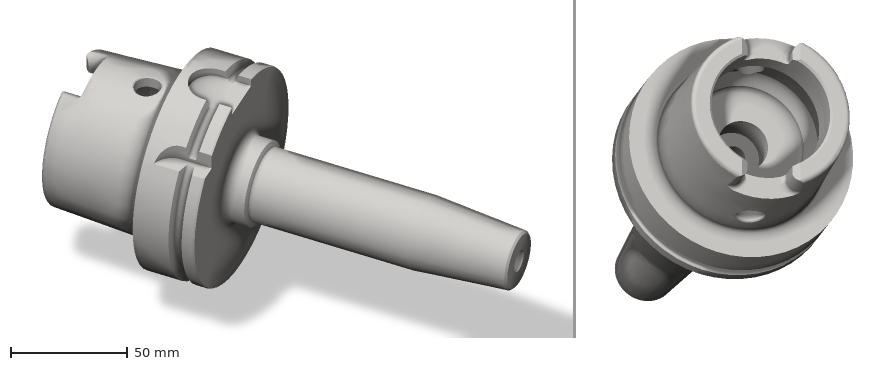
import cadquery as cq
import math


TAPER_LENGTH = 50.0
TAPER_MAX_RADIUS = 75.42 / 2
TAPER_SLOPE = 1 / 20
COLLAR_LENGTH = 2.5
COLLAR_FILLET = 1.2
SHANK_END_FILLET = 2.0

FLANGE_RADIUS = 50.0
FLANGE_WIDTH = 29.0
FLANGE_CHAMFER_LENGTH = 0.8
FLANGE_CHAMFER_DEPTH = 0.3
GROOVE_CENTER_X = 20.0
GROOVE_TOP_WIDTH = 6.2
GROOVE_BOTTOM_WIDTH = 3.2
GROOVE_BOTTOM_RADIUS = 45.8
GROOVE_FILLET = 0.6

TOTAL_REACH = 160.0
NECK_RADIUS = 39 / 2
NECK_END_X = 39.0
NECK_FILLET = 3.0
NECK_CHAMFER = 1.0
BODY_RADIUS = 34 / 2
BODY_END_X = 115.5
NOSE_RADIUS = 27 / 2
NOSE_CHAMFER = 1.0

CAVITY_RADIUS = 53 / 2
CAVITY_FLOOR_X = -3.0
CAVITY_FLOOR_FILLET = 2.0
MOUTH_CHAMFER = 1.0
CLAMP_RADIUS = 63 / 2
CLAMP_START_X = -31.0
CLAMP_END_X = -5.3
CLAMP_ANGLE = 60.0
THREAD_CORE_RADIUS = 22.38 / 2
THREAD_DEPTH = 15.0
COOLANT_RADIUS = 10 / 2

ACCESS_DIAMETER = 12.0
ACCESS_X = -15.3
ACCESS_CHAMFER = 0.5

SLOT_WIDTH = 20.0
UPPER_SLOT_DEPTH = 9.6
LOWER_SLOT_DEPTH = 14.2
SLOT_SHOULDER_Z = 32.1
SLOT_EDGE_RADIUS = 5.0
SLOT_FLOOR_FILLET = 2.0
SLOT_LEAD_LENGTH = 2.5
SLOT_LEAD_WIDTH = 3.0

KEY_WIDTH = 20.0
KEY_START_X = 4.7
KEY_FLOOR = 45.0
NOTCH_FLOOR = 31.4

CLEARANCE = 5.0
PICK_MARGIN = 1.0


def taper_radius(x):
    return TAPER_MAX_RADIUS + (x + COLLAR_LENGTH) * TAPER_SLOPE


def revolve(profile):
    return profile.close().revolve(360, (0, 0, 0), (1, 0, 0))


def turned_body():
    end_x = -TAPER_LENGTH
    profile = (
        cq.Workplane("XY")
        .moveTo(end_x, 0)
        .lineTo(end_x, taper_radius(end_x))
        .lineTo(-COLLAR_LENGTH, TAPER_MAX_RADIUS)
        .lineTo(-COLLAR_FILLET, TAPER_MAX_RADIUS)
        .radiusArc((0, TAPER_MAX_RADIUS + COLLAR_FILLET), -COLLAR_FILLET)
        .lineTo(0, FLANGE_RADIUS)
        .lineTo(FLANGE_WIDTH - FLANGE_CHAMFER_LENGTH, FLANGE_RADIUS)
        .lineTo(FLANGE_WIDTH, FLANGE_RADIUS - FLANGE_CHAMFER_DEPTH)
        .lineTo(FLANGE_WIDTH, NECK_RADIUS + NECK_FILLET)
        .radiusArc((FLANGE_WIDTH + NECK_FILLET, NECK_RADIUS), -NECK_FILLET)
        .lineTo(NECK_END_X, NECK_RADIUS)
        .lineTo(NECK_END_X + NECK_CHAMFER, BODY_RADIUS)
        .lineTo(BODY_END_X, BODY_RADIUS)
        .lineTo(TOTAL_REACH - NOSE_CHAMFER, NOSE_RADIUS)
        .lineTo(TOTAL_REACH, NOSE_RADIUS - NOSE_CHAMFER)
        .lineTo(TOTAL_REACH, 0)
    )
    return revolve(profile).faces("<X").edges().fillet(SHANK_END_FILLET)


def gripper_groove():
    outer = FLANGE_RADIUS
    half_top = GROOVE_TOP_WIDTH / 2
    half_bottom = GROOVE_BOTTOM_WIDTH / 2
    profile = (
        cq.Workplane("XY")
        .moveTo(GROOVE_CENTER_X - half_top, outer + CLEARANCE)
        .lineTo(GROOVE_CENTER_X - half_top, outer)
        .lineTo(GROOVE_CENTER_X - half_bottom, GROOVE_BOTTOM_RADIUS)
        .lineTo(GROOVE_CENTER_X + half_bottom, GROOVE_BOTTOM_RADIUS)
        .lineTo(GROOVE_CENTER_X + half_top, outer)
        .lineTo(GROOVE_CENTER_X + half_top, outer + CLEARANCE)
    )
    bottom_edges = cq.selectors.RadiusNthSelector(0)
    return revolve(profile).edges("%CIRCLE").edges(bottom_edges).fillet(GROOVE_FILLET)


def cavity():
    end_x = -TAPER_LENGTH
    step = CLAMP_RADIUS - CAVITY_RADIUS
    shoulder = step / math.tan(math.radians(CLAMP_ANGLE))
    thread_end_x = CAVITY_FLOOR_X + THREAD_DEPTH
    profile = (
        cq.Workplane("XY")
        .moveTo(end_x, 0)
        .lineTo(end_x, CAVITY_RADIUS + MOUTH_CHAMFER)
        .lineTo(end_x + MOUTH_CHAMFER, CAVITY_RADIUS)
        .lineTo(CLAMP_START_X, CAVITY_RADIUS)
        .lineTo(CLAMP_START_X + shoulder, CLAMP_RADIUS)
        .lineTo(CLAMP_END_X - step, CLAMP_RADIUS)
        .lineTo(CLAMP_END_X, CAVITY_RADIUS)
        .lineTo(CAVITY_FLOOR_X - CAVITY_FLOOR_FILLET, CAVITY_RADIUS)
        .radiusArc((CAVITY_FLOOR_X, CAVITY_RADIUS - CAVITY_FLOOR_FILLET), CAVITY_FLOOR_FILLET)
        .lineTo(CAVITY_FLOOR_X, THREAD_CORE_RADIUS)
        .lineTo(thread_end_x, THREAD_CORE_RADIUS)
        .lineTo(thread_end_x, COOLANT_RADIUS)
        .lineTo(TOTAL_REACH, COOLANT_RADIUS)
        .lineTo(TOTAL_REACH, 0)
    )
    return revolve(profile)


def with_access_hole(body):
    """Drill the hole through both walls and break its two outer edges."""
    hole = cq.Workplane("XY").center(ACCESS_X, 0).circle(ACCESS_DIAMETER / 2)
    drilled = body.cut(hole.extrude(FLANGE_RADIUS, both=True))
    reach = ACCESS_DIAMETER / 2 + PICK_MARGIN
    outer_z = (CLAMP_RADIUS + taper_radius(ACCESS_X)) / 2
    for near_z, far_z in ((outer_z, FLANGE_RADIUS), (-FLANGE_RADIUS, -outer_z)):
        rim = cq.selectors.BoxSelector(
            (ACCESS_X - reach, -reach, near_z), (ACCESS_X + reach, reach, far_z), boundingbox=True
        )
        drilled = drilled.edges(rim).chamfer(ACCESS_CHAMFER)
    return drilled


def drive_slot(depth):
    """Cutting shape of the slot on the +Z side: rounded outer edges, filleted floor and a flared entry."""
    half = SLOT_WIDTH / 2
    wide = FLANGE_RADIUS
    edge_z = SLOT_SHOULDER_Z - SLOT_EDGE_RADIUS
    start_x = -TAPER_LENGTH
    slot = (
        cq.Workplane("YZ", origin=(start_x - CLEARANCE, 0, 0))
        .moveTo(-half, 0)
        .lineTo(-half, edge_z)
        .radiusArc((-half - SLOT_EDGE_RADIUS, SLOT_SHOULDER_Z), -SLOT_EDGE_RADIUS)
        .lineTo(-wide, SLOT_SHOULDER_Z)
        .lineTo(-wide, wide)
        .lineTo(wide, wide)
        .lineTo(wide, SLOT_SHOULDER_Z)
        .lineTo(half + SLOT_EDGE_RADIUS, SLOT_SHOULDER_Z)
        .radiusArc((half, edge_z), -SLOT_EDGE_RADIUS)
        .lineTo(half, 0)
        .close()
        .extrude(depth + CLEARANCE)
    )
    floor_x = start_x + depth
    floor_edges = cq.selectors.BoxSelector(
        (floor_x - PICK_MARGIN, PICK_MARGIN - wide, PICK_MARGIN),
        (floor_x + PICK_MARGIN, wide - PICK_MARGIN, SLOT_SHOULDER_Z + PICK_MARGIN),
    )
    slot = slot.edges(floor_edges).fillet(SLOT_FLOOR_FILLET)
    entry = (
        cq.Workplane("XY")
        .moveTo(start_x, -half - SLOT_LEAD_WIDTH)
        .lineTo(start_x + SLOT_LEAD_LENGTH, -half)
        .lineTo(start_x + SLOT_LEAD_LENGTH, half)
        .lineTo(start_x, half + SLOT_LEAD_WIDTH)
        .close()
        .extrude(wide)
    )
    return slot.union(entry)


def flange_slot(center_y, floor_z):
    """Round-ended slot of keyway width, open towards the nose and towards +Z."""
    half = KEY_WIDTH / 2
    arc_x = KEY_START_X + half
    end_x = FLANGE_WIDTH
    return (
        cq.Workplane("XY", origin=(0, center_y, floor_z))
        .moveTo(end_x, -half)
        .lineTo(arc_x, -half)
        .threePointArc((KEY_START_X, 0), (arc_x, half))
        .lineTo(end_x, half)
        .close()
        .extrude(FLANGE_RADIUS)
    )


def turned_over(shape):
    return shape.rotate((0, 0, 0), (1, 0, 0), 180)


keyway = flange_slot(0, KEY_FLOOR)
corner_notch = flange_slot(-NOTCH_FLOOR - KEY_WIDTH / 2, NOTCH_FLOOR)

body = turned_body().cut(gripper_groove()).cut(cavity())
result = (
    with_access_hole(body)
    .cut(drive_slot(UPPER_SLOT_DEPTH))
    .cut(turned_over(drive_slot(LOWER_SLOT_DEPTH)))
    .cut(keyway)
    .cut(turned_over(keyway))
    .cut(corner_notch)
)